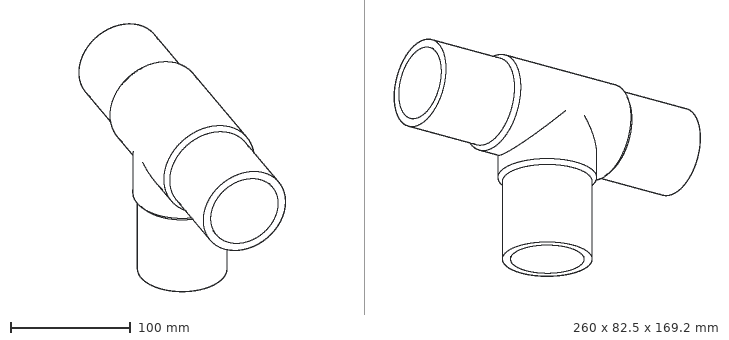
import cadquery as cq

RUN_LENGTH = 260.0
BRANCH_REACH = 128.0
SPIGOT_LENGTH = 70.0
SPIGOT_DIAMETER = 75.0
BODY_DIAMETER = 82.5
BORE_DIAMETER = 61.4

run_reach = RUN_LENGTH / 2
shoulder_chamfer = (BODY_DIAMETER - SPIGOT_DIAMETER) / 2

run_start = cq.Plane(origin=(-run_reach, 0, 0), xDir=(0, 1, 0), normal=(1, 0, 0))
body_start = cq.Plane(origin=(SPIGOT_LENGTH - run_reach, 0, 0), xDir=(0, 1, 0), normal=(1, 0, 0))
branch_start = cq.Plane(origin=(0, 0, 0), xDir=(1, 0, 0), normal=(0, 0, -1))


def cylinder(plane, diameter, length):
    """Solid cylinder rising from the plane along its normal."""
    return cq.Workplane(plane).circle(diameter / 2).extrude(length)


def make_run():
    """Horizontal pipe: a thick body, chamfered at both ends, with a spigot on each side."""
    body = cylinder(body_start, BODY_DIAMETER, RUN_LENGTH - 2 * SPIGOT_LENGTH)
    body = body.faces("<X or >X").chamfer(shoulder_chamfer)
    return body.union(cylinder(run_start, SPIGOT_DIAMETER, RUN_LENGTH))


def make_branch():
    """Downward pipe: a thick collar, chamfered at its lower end, with one spigot."""
    collar = cylinder(branch_start, BODY_DIAMETER, BRANCH_REACH - SPIGOT_LENGTH)
    collar = collar.faces("<Z").chamfer(shoulder_chamfer)
    return collar.union(cylinder(branch_start, SPIGOT_DIAMETER, BRANCH_REACH))


def make_bores():
    """Passage through the run, joined by the passage out of the branch."""
    run_bore = cylinder(run_start, BORE_DIAMETER, RUN_LENGTH)
    return run_bore.union(cylinder(branch_start, BORE_DIAMETER, BRANCH_REACH))


result = make_run().union(make_branch()).cut(make_bores())